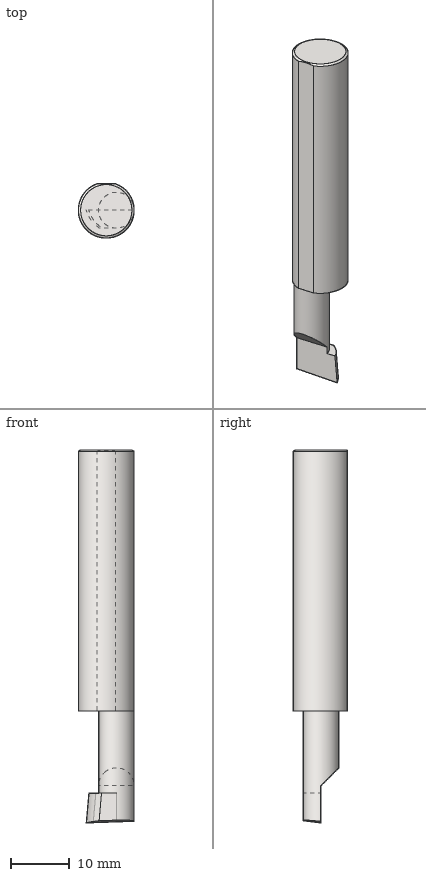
import cadquery as cq
import math


SHANK_DIAMETER = 9.525
SHANK_RADIUS = SHANK_DIAMETER / 2
OVERALL_LENGTH = 63.5
REACH = 19.05
DEPTH_ACROSS_FLAT = 9.27
FLAT_Y = DEPTH_ACROSS_FLAT - SHANK_RADIUS
CHAMFER_WIDTH = 0.4
CHAMFER_HEIGHT = 0.25

NECK_RADIUS = 3.04
NECK_X = SHANK_RADIUS - NECK_RADIUS

RAKE_Y = 0.0
RAKE_TOP_Z = 6.35
RAMP_ANGLE = 45

HEAD_HEIGHT = 5.1
TIP_X = -3.41
FLANK_RADIUS = 5.5
HEEL_START = (-2.22, -2.16)
HEEL_END_X = -1.25
SIDE_RELIEF_ANGLE = 5
END_RELIEF_ANGLE = 6
END_CLEARANCE_ANGLE = 2

CUT_MARGIN = 5.0


def make_shank():
    """Round shank with a flat on +Y and a chamfered top rim."""
    profile = [
        (0, REACH),
        (-SHANK_RADIUS, REACH),
        (-SHANK_RADIUS, OVERALL_LENGTH - CHAMFER_HEIGHT),
        (CHAMFER_WIDTH - SHANK_RADIUS, OVERALL_LENGTH),
        (0, OVERALL_LENGTH),
    ]
    shank = cq.Workplane("XZ").polyline(profile).close().revolve(360, (0, 0), (0, 1))
    flat_cutter = (
        cq.Workplane("XY")
        .box(SHANK_DIAMETER, CUT_MARGIN, OVERALL_LENGTH, centered=(True, False, False))
        .translate((0, FLAT_Y, 0))
    )
    return shank.cut(flat_cutter)


def make_neck():
    """Offset round neck from the tip level up to the shank."""
    return cq.Workplane("XY").center(NECK_X, 0).circle(NECK_RADIUS).extrude(REACH)


def draw_head_outline(plane, shift):
    """Head section with its round flank and flat heel moved by shift along X."""
    tip = (TIP_X + shift, RAKE_Y)
    heel_start = (HEEL_START[0] + shift, HEEL_START[1])
    half_chord = math.dist(tip, heel_start) / 2
    bulge = FLANK_RADIUS - math.sqrt(FLANK_RADIUS**2 - half_chord**2)
    return (
        plane.moveTo(NECK_X, RAKE_Y)
        .lineTo(*tip)
        .sagittaArc(heel_start, -bulge)
        .lineTo(HEEL_END_X + shift, -NECK_RADIUS)
        .lineTo(NECK_X, -NECK_RADIUS)
        .close()
    )


def make_head():
    """Cutting head whose flank leans towards +X with height."""
    flank_shift = HEAD_HEIGHT * math.tan(math.radians(SIDE_RELIEF_ANGLE))
    bottom = draw_head_outline(cq.Workplane("XY"), 0)
    top_plane = bottom.workplane(offset=HEAD_HEIGHT, origin=(0, 0, 0))
    return draw_head_outline(top_plane, flank_shift).loft(ruled=True)


def make_rake_cutter():
    """Removes the +Y half below the ramp that runs out through the neck."""
    far_y = RAKE_Y + NECK_RADIUS + CUT_MARGIN
    ramp_rise = (far_y - RAKE_Y) * math.tan(math.radians(RAMP_ANGLE))
    profile = [
        (RAKE_Y, -CUT_MARGIN),
        (far_y, -CUT_MARGIN),
        (far_y, RAKE_TOP_Z + ramp_rise),
        (RAKE_Y, RAKE_TOP_Z),
    ]
    return cq.Workplane("YZ").polyline(profile).close().extrude(SHANK_DIAMETER, both=True)


def make_end_cutter():
    """Half space below the relieved end plane, which passes through the tip."""
    normal = (
        -math.tan(math.radians(END_CLEARANCE_ANGLE)),
        math.tan(math.radians(END_RELIEF_ANGLE)),
        1,
    )
    end_plane = cq.Plane(origin=(TIP_X, RAKE_Y, 0), normal=normal)
    cutter_size = 2 * (SHANK_DIAMETER + CUT_MARGIN)
    return cq.Workplane(end_plane).rect(cutter_size, cutter_size).extrude(-CUT_MARGIN)


cutting_end = make_neck().union(make_head()).cut(make_rake_cutter()).cut(make_end_cutter())
result = make_shank().union(cutting_end)